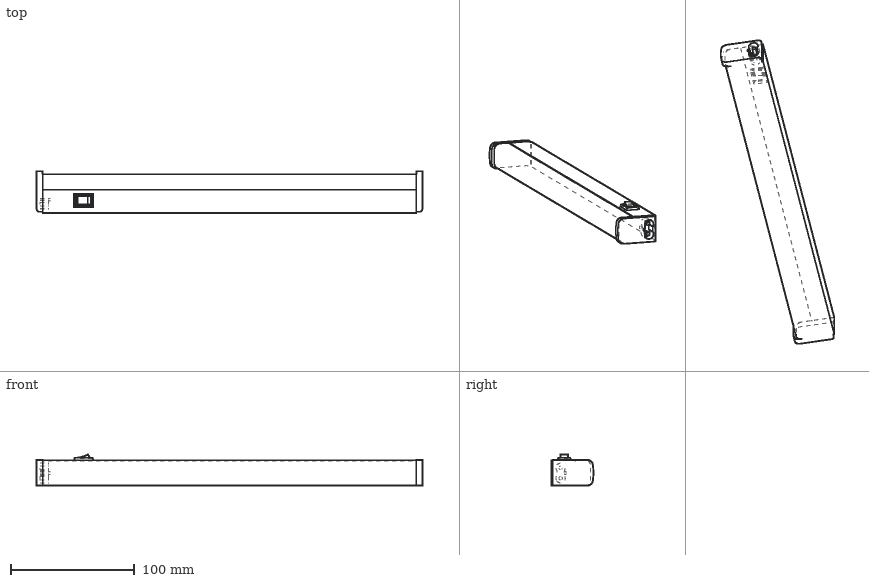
import cadquery as cq
import math

length = 312.0
cap_height = 21.0
top_inset = 0.15
body_top = cap_height - top_inset
mid_height = cap_height / 2

cap_thickness = 5.0
cap_front = 1.0
cap_back = 34.0
cap_back_bulge = 1.2
corner_radius = 4.7
cap_front_fillet = 2.5

body_back = 31.5
seam_back = 23.0
panel_back = 18.7
panel_front = 4.5
lip_back = 2.5
seam_drop = 0.47
lip_drop = 0.15
lip_z = body_top - lip_drop

inlet_y = 7.2
inlet_lobe_radius = 3.7
pin_pitch = 8.5
inlet_waist = 6.2
inlet_depth = 9.5
pin_diameter = 2.8
pin_setback = 2.5
key_radius = 1.1
key_extra_depth = 1.2
pin_centers = [(inlet_y, mid_height + side * pin_pitch / 2) for side in (-1, 1)]

bezel_left = 30.3
bezel_length = 15.5
bezel_width = 11.0
bezel_y = 10.3
bezel_top = 22.8
bezel_draft = 0.5
well_length = 12.0
well_width = 7.8
well_depth = 0.5
rocker_width = 6.2
rocker_left = 33.5
rocker_peak = 41.5
rocker_right = 43.7
rocker_top = 25.3
rocker_hollow = 0.47


def make_body():
    """Extruded housing: rounded back, shallow seam step, flat panel and lowered front lip."""
    seam_run = seam_back - panel_back
    seam_radius = (seam_run**2 + seam_drop**2) / (2 * seam_drop)
    half_run = seam_run / 2
    half_drop = seam_radius - math.sqrt(seam_radius**2 - half_run**2)
    seam_mid = (seam_back - half_run, body_top - half_drop)
    profile = (
        cq.Workplane("YZ", origin=(cap_thickness, 0, 0))
        .moveTo(0, 0)
        .lineTo(body_back - corner_radius, 0)
        .radiusArc((body_back, corner_radius), -corner_radius)
        .lineTo(body_back, body_top - corner_radius)
        .radiusArc((body_back - corner_radius, body_top), -corner_radius)
        .lineTo(seam_back, body_top)
        .threePointArc(seam_mid, (panel_back, body_top - seam_drop))
        .lineTo(panel_back, body_top)
        .lineTo(panel_front, body_top)
        .lineTo(lip_back, lip_z)
        .lineTo(0, lip_z)
        .close()
    )
    return profile.extrude(length - 2 * cap_thickness)


def make_left_cap():
    """End plate with a bulged, rounded back and a rounded outer front edge."""
    side_y = cap_back - cap_back_bulge
    cap = (
        cq.Workplane("YZ")
        .moveTo(cap_front, 0)
        .lineTo(side_y, 0)
        .threePointArc((cap_back, mid_height), (side_y, cap_height))
        .lineTo(cap_front, cap_height)
        .close()
        .extrude(cap_thickness)
    )
    cap = cap.edges("|X").edges(">Y").fillet(corner_radius)
    return cap.edges("|Z and <X and <Y").fillet(cap_front_fillet)


def make_inlet_cavity():
    """Figure-eight recess with a deeper key hole at its waist."""
    face = cq.Workplane("YZ")
    lobes = face.pushPoints(pin_centers).circle(inlet_lobe_radius).extrude(inlet_depth)
    waist = face.center(inlet_y, mid_height).rect(inlet_waist, pin_pitch).extrude(inlet_depth)
    key = (
        face.center(inlet_y + inlet_lobe_radius, mid_height)
        .circle(key_radius)
        .extrude(inlet_depth + key_extra_depth)
    )
    return lobes.union(waist).union(key)


def make_inlet_pins():
    """Two contact pins standing on the floor of the inlet recess."""
    return (
        cq.Workplane("YZ", origin=(pin_setback, 0, 0))
        .pushPoints(pin_centers)
        .circle(pin_diameter / 2)
        .extrude(inlet_depth - pin_setback)
    )


def make_switch():
    """Tapered bezel with a shallow well and a rocker whose pressed face is hollow."""
    bezel_x = bezel_left + bezel_length / 2
    well_floor = bezel_top - well_depth
    bezel = (
        cq.Workplane("XY", origin=(bezel_x, bezel_y, body_top))
        .rect(bezel_length, bezel_width)
        .workplane(offset=bezel_top - body_top)
        .rect(bezel_length - 2 * bezel_draft, bezel_width - 2 * bezel_draft)
        .loft(ruled=True)
    )
    well = (
        cq.Workplane("XY", origin=(bezel_x, bezel_y, well_floor))
        .rect(well_length, well_width)
        .extrude(well_depth)
    )
    hollow_point = (
        (rocker_left + rocker_peak) / 2,
        (bezel_top + rocker_top) / 2 - rocker_hollow,
    )
    rocker = (
        cq.Workplane("XZ", origin=(0, bezel_y + rocker_width / 2, 0))
        .moveTo(rocker_left, well_floor)
        .lineTo(rocker_left, bezel_top)
        .threePointArc(hollow_point, (rocker_peak, rocker_top))
        .lineTo(rocker_right, well_floor)
        .close()
        .extrude(rocker_width)
    )
    return bezel.cut(well).union(rocker)


left_cap = make_left_cap()
right_cap = left_cap.mirror("YZ").translate((length, 0, 0))
result = (
    make_body()
    .union(left_cap)
    .union(right_cap)
    .cut(make_inlet_cavity())
    .union(make_inlet_pins())
    .union(make_switch())
)